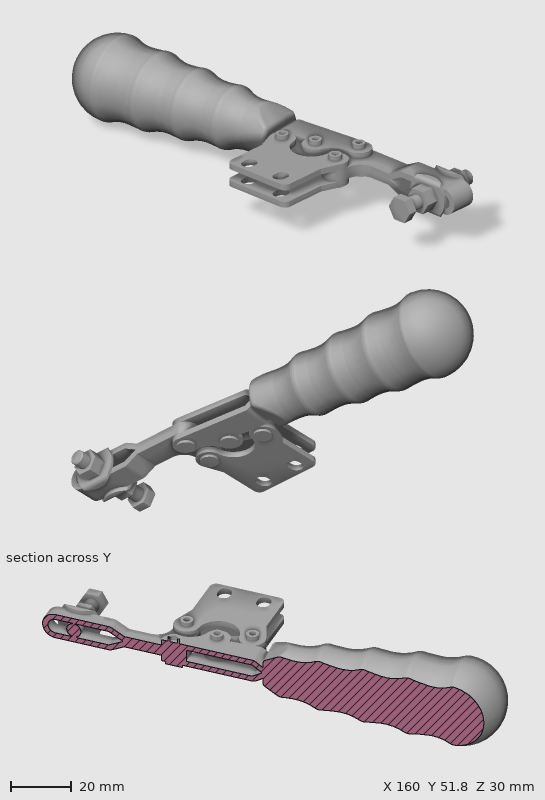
import cadquery as cq
import math


sheet = 2.1
bend_rounding = 0.7
lug_radius = 4.5
plate_outer_z = 2 * sheet
link_lug_radius = 4.4

front_base_rivet = (0.0, 0.0)
rear_base_rivet = (-23.1, -0.5)
arm_rivet = (0.0, 11.45)
link_rivet = (-12.3, 3.8)

rivet_radius = 2.15
rivet_top_z = 6.0
rivet_bore_radius = 1.2
rivet_bore_depth = rivet_top_z - plate_outer_z
rivet_head_radius = 3.1
rivet_head_height = 0.9

base_centre_x = rear_base_rivet[0] / 2
base_half_width = 13.1
base_bottom_y = -25.95
base_shoulder_y = -8.7
base_corner_radius = 2.3
cutout_centre_y = 1.05
slot_spacing = 13.95
slot_y = -21.5
slot_width = 4.6
slot_length = 5.9

arm_half_height = 4.6
arm_tip_x = 46.6
arm_fillet = 5.6
arm_gap = 2.55
arm_bend_start = 18.1
arm_bend_end = 23.0

overall_length = 160.04
handle_angle = 5.0
ball_radius = 15.0
ball_centre = (arm_tip_x - overall_length + ball_radius, 1.9)
grip_length = 67.5
ridge_positions = (16.0, 31.7, 47.4)
ridge_slope = 0.086
ridge_half_width = 1.2
ridge_crown = 0.15
ridge_crown_half_width = 0.3
groove_drop = 0.35
groove_share = 0.67
groove_sag = 0.55
ball_blend = (1.4, 14.65)
neck_position = 57.0
neck_radius = 8.9
grip_end_radius = 9.35
grip_end_rounding = 1.5
taper_start = 59.3
taper_end_z = 4.8
lever_start = 60.0
lever_bend_start = 67.9
lever_bend_end = 71.2
lever_width = 10.3

spindle_x = 35.45
spindle_radius = 2.6
spindle_top_y = 25.85
spindle_chamfer = 0.4
spindle_head_bottom_y = -7.75
spindle_head_height = 3.4
hex_across_corners = 9.3
nut_height = 4.7
washer_radius = 7.6
washer_thickness = 1.0
washer_flap_z = 6.2
washer_flap_root = 6.0
washer_flap_tip = 5.2
washer_flap_drop = 2.0

tilt = math.radians(handle_angle)
along = (math.cos(tilt), math.sin(tilt))
across = (-along[1], along[0])
grip_profile_plane = cq.Plane((*ball_centre, 0), (*along, 0), (along[1], -along[0], 0))
grip_plan_plane = cq.Plane((*ball_centre, 0), (*along, 0), (0, 0, 1))


def polar(centre, radius, degrees):
    """Point on a circle."""
    angle = math.radians(degrees)
    return (centre[0] + radius * math.cos(angle), centre[1] + radius * math.sin(angle))


def heading(start, end):
    """Direction from one point to another, in degrees."""
    return math.degrees(math.atan2(end[1] - start[1], end[0] - start[0]))


def distance(start, end):
    return math.hypot(end[0] - start[0], end[1] - start[1])


def prism(sketch, z0, z1):
    """Extrude an XY outline between two heights."""
    return sketch.extrude(z1 - z0).translate((0, 0, z0))


def plan():
    return cq.Workplane("XY")


def both_sides(body):
    """A body above Z = 0 joined by its mirror image."""
    return body.union(body.mirror("XY"))


def bent_sheet(plane, start, bend_start, bend_end, end, inner_z0, inner_z1, depth):
    """Sheet bent outward between two stations, extruded far enough to cover its plan outline."""
    bend = math.atan2(inner_z1 - inner_z0, bend_end - bend_start)
    shift = sheet * math.tan(bend / 2)
    corner = (bend_end - shift, inner_z1 + sheet)
    rounding_end = polar(corner, -bend_rounding, math.degrees(bend))
    outline = (
        cq.Workplane(plane)
        .moveTo(start, inner_z0)
        .lineTo(bend_start, inner_z0)
        .lineTo(bend_end, inner_z1)
        .lineTo(end, inner_z1)
        .lineTo(end, corner[1])
        .lineTo(corner[0] + bend_rounding, corner[1])
        .tangentArcPoint(rounding_end, relative=False)
        .lineTo(bend_start - shift, inner_z0 + sheet)
        .lineTo(start, inner_z0 + sheet)
        .close()
    )
    return outline.extrude(depth, both=True)


def make_base_plates():
    cutout_centre = (base_centre_x, cutout_centre_y)
    cutout_radius = distance(cutout_centre, front_base_rivet) - lug_radius
    left = base_centre_x - base_half_width
    right = base_centre_x + base_half_width
    rear_meet = polar(rear_base_rivet, lug_radius, heading(rear_base_rivet, cutout_centre))
    front_meet = polar(front_base_rivet, lug_radius, heading(front_base_rivet, cutout_centre))
    side_angle = 20
    outline = (
        plan()
        .moveTo(left, base_bottom_y)
        .lineTo(right, base_bottom_y)
        .lineTo(right, base_shoulder_y)
        .lineTo(*polar(front_base_rivet, lug_radius, -side_angle))
        .threePointArc(polar(front_base_rivet, lug_radius, 80), front_meet)
        .threePointArc((base_centre_x, cutout_centre_y - cutout_radius), rear_meet)
        .threePointArc(polar(rear_base_rivet, lug_radius, 100),
                       polar(rear_base_rivet, lug_radius, 180 + side_angle))
        .lineTo(left, base_shoulder_y)
        .close()
    )
    plate = prism(outline, sheet, plate_outer_z)
    plate = plate.edges("|Z and <Y").fillet(base_corner_radius)
    slots = (
        plan()
        .pushPoints([(base_centre_x + side * slot_spacing / 2, slot_y) for side in (-1, 1)])
        .slot2D(slot_length, slot_width, 90)
    )
    return both_sides(plate.cut(prism(slots, 0, 2 * plate_outer_z)))


def make_link():
    """Strap between the rear base rivet and the lever's lower rivet."""
    middle = [(a + b) / 2 for a, b in zip(rear_base_rivet, link_rivet)]
    length = distance(rear_base_rivet, link_rivet) + 2 * link_lug_radius
    angle = heading(rear_base_rivet, link_rivet)
    strap = plan().center(*middle).slot2D(length, 2 * link_lug_radius, angle)
    return prism(strap, -sheet, sheet)


def make_arm():
    bottom = arm_rivet[1] - arm_half_height
    top = arm_rivet[1] + arm_half_height
    fillet_centre = (lug_radius + arm_fillet, bottom - arm_fillet)
    outline = (
        plan()
        .moveTo(arm_tip_x, top)
        .lineTo(arm_rivet[0], top)
        .threePointArc(polar(arm_rivet, arm_half_height, 135), (-lug_radius, arm_rivet[1]))
        .lineTo(-lug_radius, 0)
        .threePointArc((0, -lug_radius), (lug_radius, 0))
        .lineTo(lug_radius, fillet_centre[1])
        .threePointArc(polar(fillet_centre, arm_fillet, 135), (fillet_centre[0], bottom))
        .lineTo(arm_tip_x, bottom)
        .close()
    )
    spread = arm_gap + sheet
    blank = prism(outline, -spread, spread)
    loop_centre_x = arm_tip_x - spread
    cover = top + lug_radius
    cheeks = both_sides(bent_sheet("XZ", -2 * lug_radius, arm_bend_start, arm_bend_end,
                                   loop_centre_x, 0, arm_gap, cover))
    loop = (
        cq.Workplane("XZ")
        .moveTo(loop_centre_x, spread)
        .threePointArc((arm_tip_x, 0), (loop_centre_x, -spread))
        .lineTo(loop_centre_x, -arm_gap)
        .threePointArc((loop_centre_x + arm_gap, 0), (loop_centre_x, arm_gap))
        .close()
        .extrude(cover, both=True)
    )
    return blank.intersect(cheeks.union(loop))


def make_lever():
    top_tangent = polar(arm_rivet, lug_radius, 90 + handle_angle)
    reach = [t - c for t, c in zip(top_tangent, ball_centre)]
    top_offset = reach[0] * across[0] + reach[1] * across[1]
    neck = [c + lever_start * a for c, a in zip(ball_centre, along)]
    neck_top = [n + top_offset * a for n, a in zip(neck, across)]
    neck_bottom = [n + (top_offset - lever_width) * a for n, a in zip(neck, across)]
    waist = (-5.8, 5.6)
    outline = (
        plan()
        .moveTo(*neck_top)
        .lineTo(*top_tangent)
        .threePointArc(polar(arm_rivet, lug_radius, 0), polar(arm_rivet, lug_radius, -90))
        .threePointArc(waist, polar(link_rivet, lug_radius, -25))
        .threePointArc(polar(link_rivet, lug_radius, -100), polar(link_rivet, lug_radius, 175))
        .lineTo(*neck_bottom)
        .close()
    )
    blank = prism(outline, -plate_outer_z, plate_outer_z)
    lever_end = distance(ball_centre, arm_rivet) + 2 * lug_radius
    cheeks = bent_sheet(grip_profile_plane, lever_start, lever_bend_start, lever_bend_end,
                        lever_end, 0, sheet, 4 * lug_radius)
    return blank.intersect(both_sides(cheeks))


def sagged_middle(start, end):
    """Middle of a grip hollow: below the chord between its two ends."""
    return ((start[0] + end[0]) / 2, (start[1] + end[1]) / 2 - groove_sag)


def make_grip():
    """Ball-ended grip with finger ridges, flattened towards the lever."""
    profile = (
        cq.Workplane(grip_plan_plane)
        .moveTo(-ball_radius, 0)
        .threePointArc(polar((0, 0), ball_radius, 135), (0, ball_radius))
        .tangentArcPoint(ball_blend, relative=False)
    )
    station, radius = ball_blend
    for ridge in ridge_positions:
        foot_radius = ball_radius - ridge_slope * ridge
        crown_radius = foot_radius + ridge_crown
        ridge_start = ridge - ridge_half_width
        ridge_end = ridge + ridge_half_width
        bottom = (station + groove_share * (ridge_start - station), foot_radius - groove_drop)
        profile = profile.threePointArc(sagged_middle((station, radius), bottom), bottom)
        profile = profile.lineTo(ridge_start, foot_radius)
        profile = profile.lineTo(ridge - ridge_crown_half_width, crown_radius)
        profile = profile.lineTo(ridge + ridge_crown_half_width, crown_radius)
        profile = profile.lineTo(ridge_end, foot_radius)
        station, radius = ridge_end, foot_radius
    neck = (neck_position, neck_radius)
    profile = (
        profile
        .threePointArc(sagged_middle((station, radius), neck), neck)
        .lineTo(grip_length, grip_end_radius)
        .lineTo(grip_length, 0)
        .close()
    )
    body = profile.revolve(360, (0, 0, 0), (1, 0, 0))

    taper = (
        cq.Workplane(grip_profile_plane)
        .moveTo(-2 * ball_radius, 0)
        .lineTo(-2 * ball_radius, 2 * ball_radius)
        .lineTo(taper_start, 2 * ball_radius)
        .lineTo(taper_start, grip_end_radius)
        .lineTo(grip_length, taper_end_z)
        .lineTo(grip_length, 0)
        .close()
        .extrude(2 * ball_radius, both=True)
    )
    tapered = body.intersect(both_sides(taper))
    return tapered.faces("%PLANE").edges().fillet(grip_end_rounding)


def make_rivet(centre):
    shank = prism(plan().center(*centre).circle(rivet_radius), -plate_outer_z, rivet_top_z)
    bore = prism(plan().center(*centre).circle(rivet_bore_radius),
                 rivet_top_z - rivet_bore_depth, rivet_top_z)
    head = prism(plan().center(*centre).circle(rivet_head_radius),
                 -plate_outer_z - rivet_head_height, -plate_outer_z)
    return shank.cut(bore).union(head)


def on_spindle(y):
    """Workplane across the spindle, facing +Y."""
    return cq.Workplane(cq.Plane((spindle_x, y, 0), (1, 0, 0), (0, 1, 0)))


def make_washer():
    """Upper washer, with flaps folded down over both sides of the arm."""
    arm_top = arm_rivet[1] + arm_half_height
    arm_side = arm_gap + sheet
    washer_top = arm_top + washer_thickness
    flap_bottom = arm_top - washer_flap_drop
    disc = on_spindle(arm_top).circle(washer_radius).extrude(washer_thickness)
    strip = on_spindle(arm_top).rect(2 * washer_radius, 2 * arm_side).extrude(washer_thickness)
    fold_radius = washer_flap_z - arm_side
    fold_centre = (washer_top - fold_radius, arm_side)
    fold = (
        cq.Workplane(cq.Plane((spindle_x, 0, 0), (0, 1, 0), (1, 0, 0)))
        .moveTo(washer_top, arm_side)
        .lineTo(flap_bottom, arm_side)
        .lineTo(flap_bottom, washer_flap_z)
        .lineTo(fold_centre[0], washer_flap_z)
        .threePointArc(polar(fold_centre, fold_radius, 45), (washer_top, arm_side))
        .close()
        .extrude(washer_radius, both=True)
    )
    sides = prism(
        plan()
        .moveTo(spindle_x - washer_flap_root, washer_top)
        .lineTo(spindle_x - washer_flap_root, arm_top)
        .lineTo(spindle_x - washer_flap_tip, arm_top)
        .threePointArc((spindle_x, flap_bottom), (spindle_x + washer_flap_tip, arm_top))
        .lineTo(spindle_x + washer_flap_root, arm_top)
        .lineTo(spindle_x + washer_flap_root, washer_top)
        .close(),
        arm_side, washer_flap_z,
    )
    tapered_ends = (
        cq.Workplane("XZ")
        .moveTo(spindle_x - washer_flap_root, arm_side)
        .lineTo(spindle_x + washer_flap_root, arm_side)
        .lineTo(spindle_x + washer_flap_tip, washer_flap_z)
        .lineTo(spindle_x - washer_flap_tip, washer_flap_z)
        .close()
        .extrude(2 * washer_top, both=True)
    )
    flap = fold.intersect(sides).intersect(tapered_ends)
    return disc.intersect(strip).union(both_sides(flap))


def make_spindle():
    arm_top = arm_rivet[1] + arm_half_height
    arm_bottom = arm_rivet[1] - arm_half_height
    rod_length = spindle_top_y - spindle_head_bottom_y
    rod = on_spindle(spindle_head_bottom_y).circle(spindle_radius).extrude(rod_length)
    rod = rod.faces(">Y").chamfer(spindle_chamfer)
    hex_blocks = (
        (spindle_head_bottom_y, spindle_head_height),
        (arm_top + washer_thickness, nut_height),
        (arm_bottom - washer_thickness - nut_height, nut_height),
    )
    for y, height in hex_blocks:
        rod = rod.union(on_spindle(y).polygon(6, hex_across_corners).extrude(height))
    upper = make_washer()
    lower = upper.mirror("XZ", (0, arm_rivet[1], 0))
    return rod.union(upper).union(lower)


result = make_base_plates().union(make_link()).union(make_arm()).union(make_lever())
result = result.union(make_grip()).union(make_spindle())
for rivet_centre in (front_base_rivet, rear_base_rivet, arm_rivet, link_rivet):
    result = result.union(make_rivet(rivet_centre))